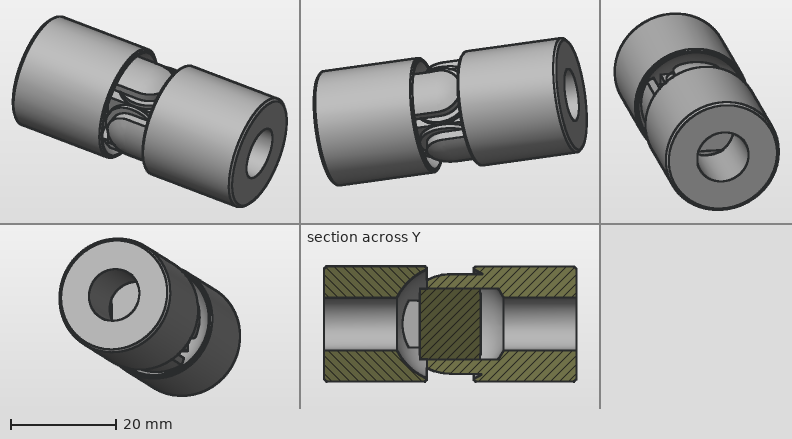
import cadquery as cq

total_length = 48.0
hub_radius = 11.0
bore_radius = 5.0
outer_chamfer = 0.5
inner_chamfer = 0.35
gap_half = 4.45
recess_mouth_radius = 10.35

arm_half_width = 4.45
arm_outer_radius = 9.5
arm_inner_offset = 6.7
arm_root_depth = 0.5

cube_side = 11.65
boss_radius = 5.75

hub_end = total_length / 2
recess_radius = (gap_half**2 + recess_mouth_radius**2) ** 0.5


def x_cylinder(radius, start, end):
    """Cylinder along X between two stations."""
    return cq.Workplane("YZ", origin=(start, 0, 0)).circle(radius).extrude(end - start)


def make_arms():
    """Pair of arms at +Z and -Z, with tips rounded toward -X."""
    length = recess_radius + arm_root_depth
    height = 2 * arm_outer_radius
    tip = cq.Workplane("XY").circle(arm_half_width).extrude(height / 2, both=True)
    shank = cq.Workplane("XY").box(length, 2 * arm_half_width, height, centered=(False, True, True))
    envelope = cq.Workplane("XY").sphere(arm_outer_radius).union(x_cylinder(arm_outer_radius, 0, length))
    between = cq.Workplane("XY").box(2 * length, 2 * hub_radius, 2 * arm_inner_offset)
    return tip.union(shank).intersect(envelope).cut(between)


def make_hub():
    """Bored hub on the +X side, with a spherical recess and a fork in the Z plane."""
    bore_start = (recess_radius**2 - bore_radius**2) ** 0.5
    arc_mid = recess_radius / 2**0.5
    half_section = (
        cq.Workplane("XY")
        .moveTo(gap_half, recess_mouth_radius)
        .lineTo(gap_half, hub_radius - inner_chamfer)
        .lineTo(gap_half + inner_chamfer, hub_radius)
        .lineTo(hub_end - outer_chamfer, hub_radius)
        .lineTo(hub_end, hub_radius - outer_chamfer)
        .lineTo(hub_end, bore_radius)
        .lineTo(bore_start, bore_radius)
        .threePointArc((arc_mid, arc_mid), (gap_half, recess_mouth_radius))
        .close()
    )
    return half_section.revolve(360, (0, 0, 0), (1, 0, 0)).union(make_arms())


def make_cross():
    """Cube with a round boss against each of the four arms."""
    cross = cq.Workplane("XY").box(cube_side, cube_side, cube_side)
    for plane in ("XY", "XZ"):
        cross = cross.union(cq.Workplane(plane).circle(boss_radius).extrude(arm_inner_offset, both=True))
    return cross


hub = make_hub()
left_hub = hub.rotate((0, 0, 0), (0, 0, 1), 180)
right_hub = hub.rotate((0, 0, 0), (1, 0, 0), 90)
cross = make_cross()

result = cq.Compound.makeCompound([left_hub.val(), right_hub.val(), cross.val()])